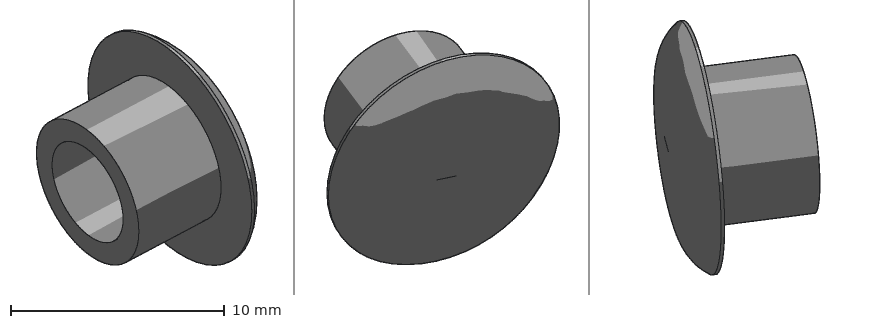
import cadquery as cq

head_diameter = 12.0
total_length = 6.48
head_height = 1.48
shank_length = total_length - head_height

shank_diameter = 7.5
bore_diameter = 5.2
bore_depth = shank_length

rim_height = 0.17
crown_edge_radius = 3.96
crown_rise = 0.12

crown_top = (0, head_height)
crown_mid = (crown_edge_radius / 2, head_height - crown_rise / 4)
crown_edge = (crown_edge_radius, head_height - crown_rise)
rim_top = (head_diameter / 2, rim_height)
rim_bottom = (head_diameter / 2, 0)


def make_head():
    """Domed head revolved about Y, with its flat underside at Y = 0."""
    profile = (
        cq.Workplane("XY")
        .moveTo(*crown_top)
        .threePointArc(crown_mid, crown_edge)
        .tangentArcPoint(rim_top, relative=False)
        .lineTo(*rim_bottom)
        .lineTo(0, 0)
        .close()
    )
    return profile.revolve(360, (0, 0, 0), (0, 1, 0))


def make_shank():
    """Cylinder from the head underside towards -Y."""
    return cq.Workplane("XZ").circle(shank_diameter / 2).extrude(shank_length)


def make_bore():
    """Cylinder cut into the shank from its open end."""
    open_end = cq.Workplane("XZ", origin=(0, -shank_length, 0))
    return open_end.circle(bore_diameter / 2).extrude(-bore_depth)


result = make_head().union(make_shank()).cut(make_bore())